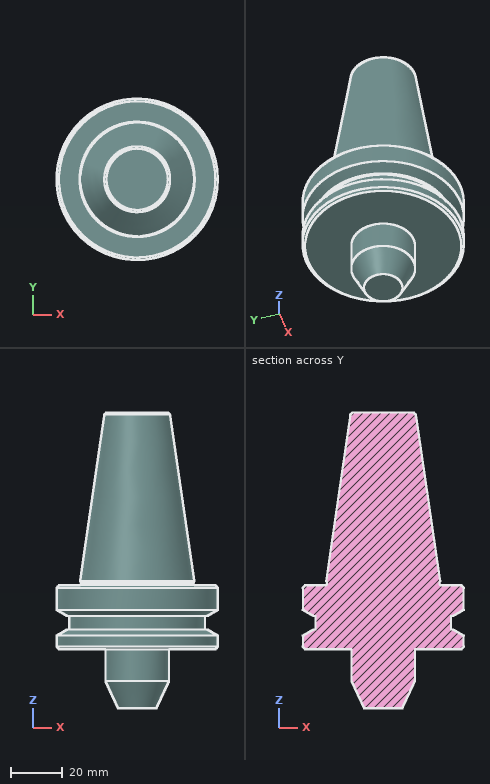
import cadquery as cq
import math

total_height = 115.4
pilot_shoulder_z = 10.6
flange_bottom_z = 23.0
groove_center_z = 33.4
flange_top_z = 48.0
gauge_z = 50.0

tip_radius = 7.5
pilot_radius = 12.5
flange_radius = 31.5
groove_floor_radius = 26.5
groove_flank_inner_radius = 27.2
gauge_radius = 22.3
collar_radius = 22.0
collar_foot_radius = 22.5

taper_ratio = 7 / 24
taper_end_radius = gauge_radius - (total_height - gauge_z) * taper_ratio / 2

groove_floor_width = 5.1
groove_flank_angle = 30.0

flange_chamfer = 1.0
taper_end_chamfer = 0.9
gauge_band_height = 0.3
gauge_chamfer_height = 0.5
collar_foot_height = 0.5


def revolve_profile(points):
    """Revolve (radius, height) points, closed along the Z axis, by a full turn."""
    profile = cq.Workplane("XZ").moveTo(0, points[0][1])
    for radius, height in points:
        profile = profile.lineTo(radius, height)
    return profile.lineTo(0, points[-1][1]).close().revolve(360, (0, 0, 0), (0, 1, 0))


def make_pilot():
    """Cylindrical stub below the flange with a conical nose."""
    return revolve_profile([
        (tip_radius, 0),
        (pilot_radius, pilot_shoulder_z),
        (pilot_radius, flange_bottom_z),
    ])


def make_flange():
    """Chamfered flange with a V-groove whose flanks end in small steps at the floor."""
    half_floor = groove_floor_width / 2
    flank_rise = flange_radius - groove_flank_inner_radius
    half_mouth = half_floor + flank_rise * math.tan(math.radians(groove_flank_angle))
    return revolve_profile([
        (flange_radius - flange_chamfer, flange_bottom_z),
        (flange_radius, flange_bottom_z + flange_chamfer),
        (flange_radius, groove_center_z - half_mouth),
        (groove_flank_inner_radius, groove_center_z - half_floor),
        (groove_floor_radius, groove_center_z - half_floor),
        (groove_floor_radius, groove_center_z + half_floor),
        (groove_flank_inner_radius, groove_center_z + half_floor),
        (flange_radius, groove_center_z + half_mouth),
        (flange_radius, flange_top_z - flange_chamfer),
        (flange_radius - flange_chamfer, flange_top_z),
    ])


def make_taper():
    """Steep taper standing on a slightly relieved collar with a flared foot."""
    gauge_band_z = gauge_z - gauge_band_height
    chamfer_radius = taper_end_radius + taper_end_chamfer * taper_ratio / 2
    return revolve_profile([
        (collar_foot_radius, flange_top_z),
        (collar_radius, flange_top_z + collar_foot_height),
        (collar_radius, gauge_band_z - gauge_chamfer_height),
        (gauge_radius, gauge_band_z),
        (gauge_radius, gauge_z),
        (chamfer_radius, total_height - taper_end_chamfer),
        (chamfer_radius - taper_end_chamfer, total_height),
    ])


result = make_pilot().union(make_flange()).union(make_taper())